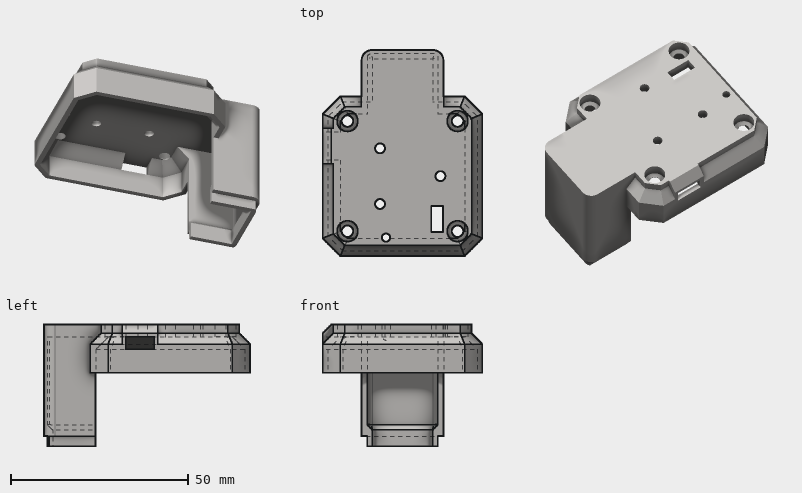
import cadquery as cq
import math

overall_length = 58.1
overall_height = 34.4

body_size = 45.0
body_height = 13.65
body_corner = 5.0
rim_height = 2.5
bevel = 3.0
wall = 1.5
roof = 3.5
inner_bevel = 3.5

tower_width = 23.1
tower_radius = 3.0
spigot_height = 2.9
spigot_width = 19.85
spigot_back_gap = 1.0
lip = 1.45
lip_height = 4.65

hood_width = 10.0
hood_y = 8.55
slot_width = 7.95
slot_height = 3.5

screw_spacing = 31.0
screw_diameter = 3.2
counterbore_diameter = 5.85
counterbore_depth = 3.3
light_hole_diameter = 2.75
light_hole_centres = [(-6.35, 7.85), (-6.35, -7.85), (10.7, 0)]
small_hole_diameter = 2.25
small_hole_centre = (-4.65, -17.3)
window_size = (3.25, 7.25)
window_centre = (9.75, -12.1)

body_half = body_size / 2
tower_back = overall_length - body_half
tower_front = body_half - wall
shoulder_z = spigot_height - overall_height
lip_top_z = lip_height - overall_height
bevel_z = -rim_height - bevel
cavity_back = tower_back - spigot_back_gap


def octagon(inset, bottom_z):
    """Body outline moved inward by inset, on the plane at bottom_z."""
    size = body_size - 2 * inset
    corner = body_corner - inset * (2 - math.sqrt(2))
    half = size / 2
    flat = half - corner
    points = [
        (half, flat), (flat, half), (-flat, half), (-half, flat),
        (-half, -flat), (-flat, -half), (flat, -half), (half, -flat),
    ]
    return cq.Workplane("XY").workplane(offset=bottom_z).polyline(points).close()


def box(width, front, back, bottom, top):
    """Box centred on X = 0 between the given Y and Z limits."""
    return (
        cq.Workplane("XY")
        .box(width, back - front, top - bottom, centered=(True, False, False))
        .translate((0, front, bottom))
    )


def body_shell():
    base = octagon(0, -body_height).extrude(body_height + bevel_z)
    slope = octagon(0, bevel_z).extrude(bevel, taper=45)
    rim = octagon(bevel, -rim_height).extrude(rim_height)
    return base.union(slope).union(rim)


def body_cavity():
    slope_z = -roof - inner_bevel
    base = octagon(wall, -body_height).extrude(body_height + slope_z)
    slope = octagon(wall, slope_z).extrude(inner_bevel, taper=45)
    return base.union(slope)


def spigot_block(front, bottom, top):
    """Spigot outline: narrowed sides and corners concentric with the tower's."""
    radius = tower_radius - spigot_back_gap
    full_width = tower_width - 2 * spigot_back_gap
    rounded = box(full_width, front, cavity_back, bottom, top).edges("|Z and >Y").fillet(radius)
    return rounded.intersect(box(spigot_width, front, cavity_back, bottom, top))


def tower():
    top_front = body_half - bevel
    column = box(tower_width, top_front, tower_back, shoulder_z, 0)
    column = column.edges("|Z and >Y").fillet(tower_radius)
    column = column.cut(box(tower_width, top_front, tower_front, shoulder_z, bevel_z))
    return column.union(spigot_block(tower_front, -overall_height, shoulder_z))


def tower_cavity():
    """Channel inside the tower, narrowing at 45 degrees to a lip at the bottom."""
    upper = spigot_block(tower_front - inner_bevel, lip_top_z, -roof)
    throat_width = spigot_width - 2 * lip
    throat_back = cavity_back - lip
    throat = box(throat_width, tower_front, throat_back, -overall_height, -roof)
    funnel = (
        cq.Workplane("XY")
        .workplane(offset=lip_top_z)
        .center(0, tower_front)
        .rect(throat_width, 2 * (throat_back - tower_front))
        .extrude(-roof - lip_top_z, taper=-45)
    )
    return upper.intersect(funnel).union(throat)


def hood():
    """Block flush with the -X side, with a sloped top edge."""
    depth = bevel + inner_bevel
    block = cq.Workplane("XY").box(depth, hood_width, -bevel_z, centered=(False, True, False))
    block = block.edges("<X and >Z").chamfer(rim_height)
    return block.translate((-body_half, hood_y, bevel_z))


def slot():
    return (
        cq.Workplane("XY")
        .box(body_half, slot_width, slot_height, centered=(False, True, False))
        .translate((-body_half, hood_y, -roof - slot_height))
    )


def round_holes(centres, diameter):
    return cq.Workplane("XY").pushPoints(centres).circle(diameter / 2).extrude(-body_height)


def window():
    return cq.Workplane("XY").center(*window_centre).rect(*window_size).extrude(-body_height)


part = body_shell().union(tower()).union(hood())
part = part.cut(body_cavity()).cut(tower_cavity()).cut(slot())
part = part.cut(round_holes(light_hole_centres, light_hole_diameter))
part = part.cut(round_holes([small_hole_centre], small_hole_diameter))
part = part.cut(window())

result = (
    part.faces(">Z")
    .workplane(origin=(0, 0, 0))
    .rect(screw_spacing, screw_spacing, forConstruction=True)
    .vertices()
    .cboreHole(screw_diameter, counterbore_diameter, counterbore_depth)
)